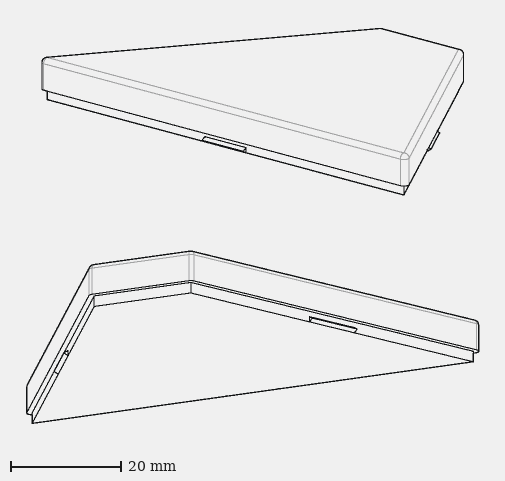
import cadquery as cq
import math

LENGTH = 88.4
DEPTH = 55.0
HEIGHT = 8.0

PLINTH_HEIGHT = 2.0
STEP = 1.0
PLATE_HEIGHT = HEIGHT - PLINTH_HEIGHT
FILLET_CLEARANCE = 0.01

BACK_WIDTH = 18.9
FRONT_HALF = LENGTH / 2 - STEP
BACK_HALF = BACK_WIDTH / 2
FRONT_Y = -DEPTH / 2 + STEP
BACK_Y = DEPTH / 2 - STEP

RIDGE_LENGTH = 10.0
RIDGE_PROJECTION = 0.8
RIDGE_APEX_Z = 0.5
RIDGE_HALF_HEIGHT = 0.5
RIDGE_ROOT = 0.4


def trapezoid():
    return cq.Workplane("XY").polyline([
        (-FRONT_HALF, FRONT_Y),
        (FRONT_HALF, FRONT_Y),
        (BACK_HALF, BACK_Y),
        (-BACK_HALF, BACK_Y),
    ]).close()


def plate():
    """Trapezoid grown by the step, with rounded corners and top edge."""
    body = trapezoid().offset2D(STEP, "arc").extrude(PLATE_HEIGHT)
    top_radius = STEP - FILLET_CLEARANCE
    return body.faces(">Z").edges().fillet(top_radius).translate((0, 0, PLINTH_HEIGHT))


def ridge(x, y, outward_angle):
    """Triangular prism centred on a plinth wall, pointing outward."""
    low = RIDGE_APEX_Z - RIDGE_HALF_HEIGHT
    high = RIDGE_APEX_Z + RIDGE_HALF_HEIGHT
    prism = (
        cq.Workplane("XZ")
        .polyline([
            (-RIDGE_ROOT, low),
            (0, low),
            (RIDGE_PROJECTION, RIDGE_APEX_Z),
            (0, high),
            (-RIDGE_ROOT, high),
        ])
        .close()
        .extrude(RIDGE_LENGTH / 2, both=True)
    )
    return prism.rotate((0, 0, 0), (0, 0, 1), outward_angle).translate((x, y, 0))


result = trapezoid().extrude(PLINTH_HEIGHT).union(plate())

side_x = (FRONT_HALF + BACK_HALF) / 2
side_y = (FRONT_Y + BACK_Y) / 2
side_angle = math.degrees(math.atan2(FRONT_HALF - BACK_HALF, BACK_Y - FRONT_Y))
result = result.union(ridge(0, FRONT_Y, -90))
result = result.union(ridge(side_x, side_y, side_angle))
result = result.union(ridge(-side_x, side_y, 180 - side_angle))